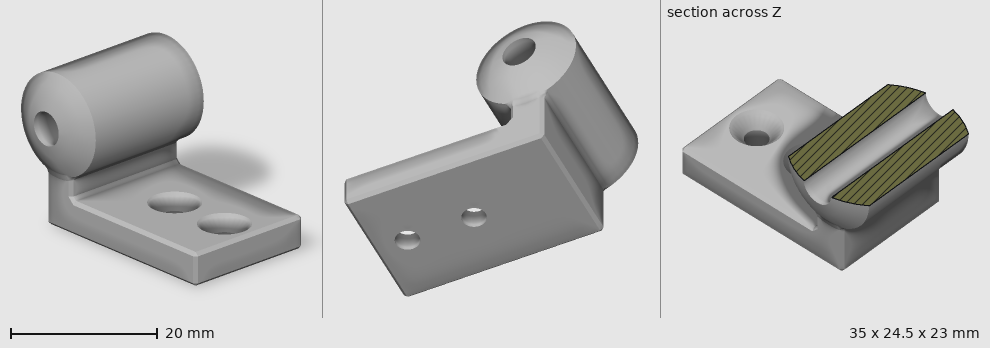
import cadquery as cq
import math


barrel_diameter = 15.0
barrel_radius = barrel_diameter / 2
barrel_length = 20.0
barrel_axis_height = 15.5
dome_radius = 12.5
pin_hole_diameter = 5.0

bracket_width = barrel_length
plate_thickness = 5.0
web_thickness = 5.0
plate_length = 30.0
edge_chamfer = 0.5

screw_hole_diameter = 3.5
countersink_diameter = 7.5
countersink_angle = 90.0
screw_spacing = 10.0
screw_to_plate_end = 5.0

web_left = -web_thickness / 2
web_right = web_thickness / 2
plate_end = web_left + plate_length
last_screw_x = plate_end - screw_to_plate_end
screw_positions = [(last_screw_x - screw_spacing, 0), (last_screw_x, 0)]


def make_bracket():
    """L-shaped block: a flat plate with an upright web reaching the barrel axis."""
    return (
        cq.Workplane("XZ")
        .moveTo(web_left, 0)
        .lineTo(plate_end, 0)
        .lineTo(plate_end, plate_thickness)
        .lineTo(web_right, plate_thickness)
        .lineTo(web_right, barrel_axis_height)
        .lineTo(web_left, barrel_axis_height)
        .close()
        .extrude(bracket_width / 2, both=True)
    )


def make_barrel():
    """Solid cylinder with a spherical dome on each end, revolved about its axis."""
    half_length = barrel_length / 2
    mid_radius = barrel_radius / 2
    mid_reach = math.sqrt(dome_radius**2 - mid_radius**2)
    return (
        cq.Workplane("XY")
        .moveTo(0, -dome_radius)
        .threePointArc((mid_radius, -mid_reach), (barrel_radius, -half_length))
        .lineTo(barrel_radius, half_length)
        .threePointArc((mid_radius, mid_reach), (0, dome_radius))
        .close()
        .revolve(360, (0, 0, 0), (0, 1, 0))
        .translate((0, 0, barrel_axis_height))
    )


def chamfer_bracket_edges(body):
    """Bevel every bracket edge, including the inner corner and the joint with the barrel."""
    margin = edge_chamfer / 2
    joint_drop = math.sqrt(barrel_radius**2 - web_right**2)
    bracket_zone = cq.selectors.BoxSelector(
        (web_left - margin, -bracket_width, -margin),
        (plate_end + margin, bracket_width, barrel_axis_height - joint_drop + margin),
        boundingbox=True,
    )
    return body.edges(bracket_zone).chamfer(edge_chamfer)


def cut_pin_hole(body):
    """Bore the barrel through along its axis."""
    pin = (
        cq.Workplane("XZ")
        .center(0, barrel_axis_height)
        .circle(pin_hole_diameter / 2)
        .extrude(dome_radius, both=True)
    )
    return body.cut(pin)


def cut_screw_holes(body):
    """Cut the countersunk through holes from the upper face of the plate."""
    taper = math.tan(math.radians(countersink_angle / 2))
    countersink_depth = (countersink_diameter - screw_hole_diameter) / 2 / taper
    screw = (
        cq.Workplane("XZ")
        .lineTo(screw_hole_diameter / 2, 0)
        .lineTo(screw_hole_diameter / 2, plate_thickness - countersink_depth)
        .lineTo(countersink_diameter / 2, plate_thickness)
        .lineTo(0, plate_thickness)
        .close()
        .revolve(360, (0, 0, 0), (0, 1, 0))
    )
    for x, y in screw_positions:
        body = body.cut(screw.translate((x, y, 0)))
    return body


body = make_bracket().union(make_barrel())
body = chamfer_bracket_edges(body)
body = cut_pin_hole(body)
result = cut_screw_holes(body)